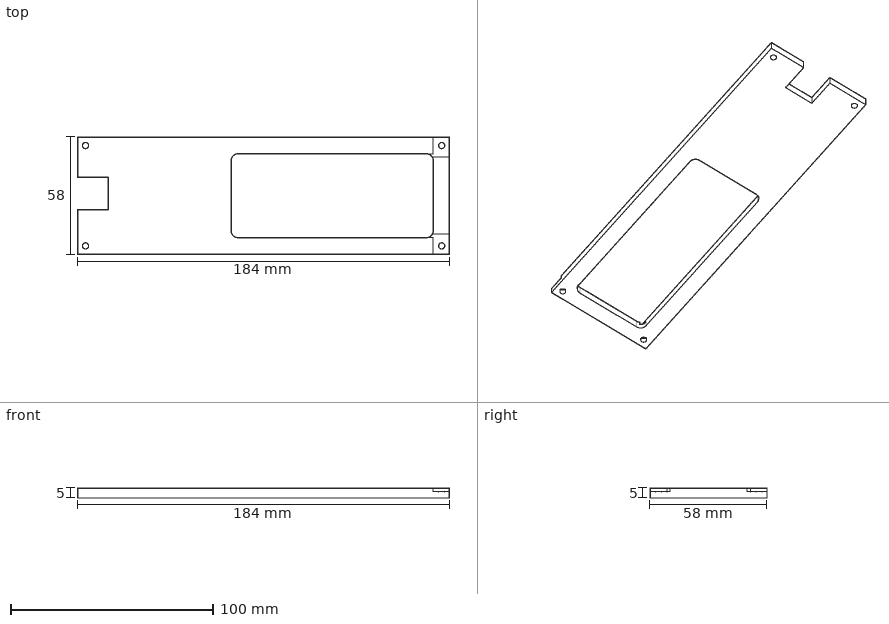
import cadquery as cq

length = 184.0
width = 58.0
thickness = 5.0

rail_width = 8.3
end_bar_width = 8.1
window_length = 100.0
window_corner_radius = 3.3

notch_depth = 15.0
notch_width = 16.0
notch_start_y = 22.0

hole_diameter = 3.0
hole_side_inset = rail_width / 2
hole_end_inset = 3.9

recess_width = 10.0
recess_depth = 1.7


def block(x, y, z, size_x, size_y, size_z):
    """Box with its lowest corner at (x, y, z)."""
    return cq.Workplane("XY").box(size_x, size_y, size_z, centered=False).translate((x, y, z))


plate = block(0, 0, 0, length, width, thickness)

notch = block(0, notch_start_y, 0, notch_depth, notch_width, thickness)

window_end_x = length - end_bar_width
window = block(
    window_end_x - window_length, rail_width, 0,
    window_length, width - 2 * rail_width, thickness,
).edges("|Z").fillet(window_corner_radius)

hole_centers = [
    (x, y)
    for x in (hole_end_inset, length - hole_end_inset)
    for y in (hole_side_inset, width - hole_side_inset)
]
holes = cq.Workplane("XY").pushPoints(hole_centers).circle(hole_diameter / 2).extrude(thickness)

result = plate.cut(notch).cut(window).cut(holes)

corner_x = window_end_x - window_corner_radius
recess_z = thickness - recess_depth
corner_reach = recess_width - rail_width
for recess_y, corner_y in ((0, rail_width), (width - recess_width, width - recess_width)):
    recess = block(window_end_x, recess_y, recess_z, end_bar_width, recess_width, recess_depth)
    corner = block(corner_x, corner_y, recess_z, window_corner_radius, corner_reach, recess_depth)
    result = result.cut(recess).cut(corner)